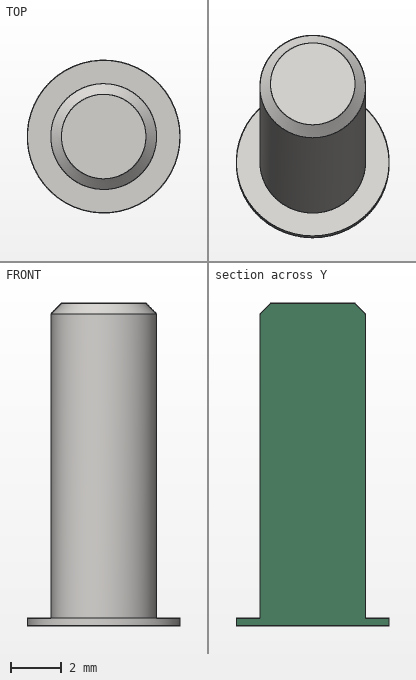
import cadquery as cq

total_height = 12.7
flange_diameter = 6.02
flange_thickness = 0.3
pin_diameter = 4.17
tip_chamfer = 0.42

flange = cq.Workplane("XY").circle(flange_diameter / 2).extrude(flange_thickness)

pin = (
    cq.Workplane("XY")
    .circle(pin_diameter / 2)
    .extrude(total_height)
    .faces(">Z")
    .chamfer(tip_chamfer)
)

result = flange.union(pin)